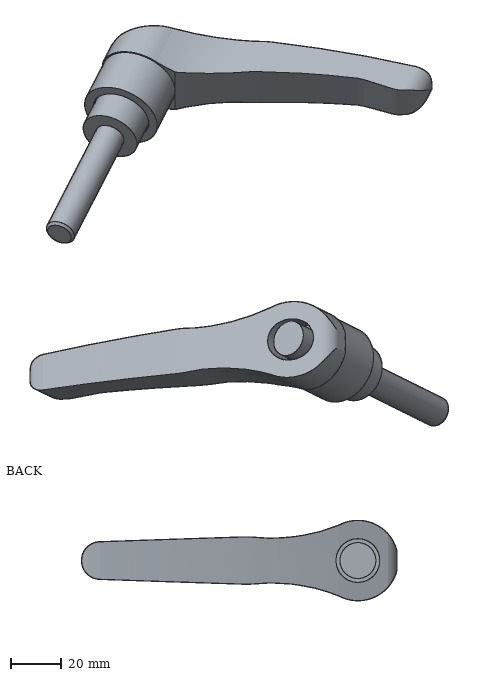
import cadquery as cq
import math

head_radius = 16.02
hub_radius = 31.0 / 2
bore_radius = 23.7 / 2
bore_depth = 1.3
collar_radius = 11.5
stud_radius = 12.0 / 2
stud_chamfer = 1.0
screw_radius = 14.3 / 2
screw_hole_radius = 8.7

total_height = 127.6
lever_top = 40.8
hub_bottom = -19.7
collar_bottom = -31.5
stud_bottom = lever_top - total_height
screw_top = 17.4
screw_hole_floor = 6.4

lever_end = 109.9
tip_radius = 7.5
tip_center = lever_end - tip_radius
heel_x = -15.6
underside_y = 26.3
neck_start = 7.5
neck_end = 43.0
neck_waist = (20.0, 10.3)
grip_start = 45.3
grip_middle = (70.6, 8.62)
grip_half_width = 9.5
blank_half_width = 25.5


def cylinder(radius, bottom, top):
    """Cylinder on the clamping axis between two Y levels."""
    return cq.Workplane("XZ").workplane(offset=-bottom).circle(radius).extrude(bottom - top)


def lever_profile():
    """Curved side shape of the lever, as a blank wider than the lever."""
    return (
        cq.Workplane("XY")
        .moveTo(heel_x, 0)
        .lineTo(hub_radius, 0)
        .lineTo(19.9, 2.3)
        .threePointArc((47.6, 14.7), (83.5, 26.0))
        .lineTo(86.2, underside_y)
        .lineTo(97.6, underside_y)
        .threePointArc((99.9, 26.5), (102.0, 27.3))
        .lineTo(103.1, 27.8)
        .threePointArc((107.7, 31.4), (lever_end, 36.8))
        .threePointArc((109.5, 39.7), (107.5, lever_top))
        .lineTo(tip_center, lever_top - 0.1)
        .threePointArc((55.3, 32.8), (neck_start, 19.0))
        .lineTo(-12.0, 11.1)
        .threePointArc((-14.5, 8.7), (heel_x, 5.2))
        .close()
        .extrude(blank_half_width, both=True)
    )


def lever_plan():
    """Plan of the lever: round head, waisted neck, tapered grip and round tip."""
    head_z = math.sqrt(head_radius**2 - neck_start**2)
    outline = (
        cq.Workplane("XZ")
        .moveTo(neck_start, head_z)
        .threePointArc(neck_waist, (neck_end, grip_half_width))
        .lineTo(grip_start, grip_half_width)
        .threePointArc(grip_middle, (tip_center, tip_radius))
        .threePointArc((lever_end, 0), (tip_center, -tip_radius))
        .threePointArc((grip_middle[0], -grip_middle[1]), (grip_start, -grip_half_width))
        .lineTo(neck_end, -grip_half_width)
        .threePointArc((neck_waist[0], -neck_waist[1]), (neck_start, -head_z))
        .threePointArc((-head_radius, 0), (neck_start, head_z))
        .close()
    )
    return outline.extrude(-lever_top)


lever = lever_profile().intersect(lever_plan())
lever = lever.cut(cylinder(screw_hole_radius, screw_hole_floor, lever_top))

hub = cylinder(hub_radius, hub_bottom, 0)
hub = hub.cut(cylinder(bore_radius, hub_bottom, hub_bottom + bore_depth))

collar = cylinder(collar_radius, collar_bottom, hub_bottom + bore_depth)
stud = cylinder(stud_radius, stud_bottom, collar_bottom).faces("<Y").chamfer(stud_chamfer)
screw_head = cylinder(screw_radius, screw_hole_floor, screw_top)

result = lever.union(hub).union(collar).union(stud).union(screw_head)